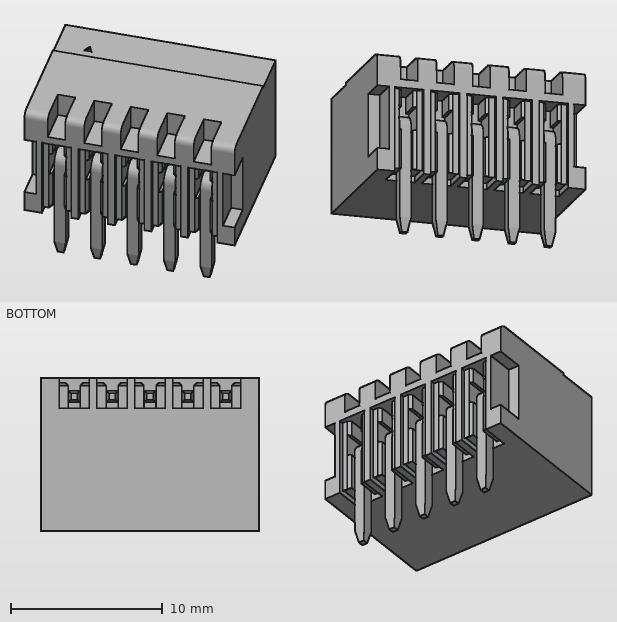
import cadquery as cq


LENGTH = 14.4
DEPTH = 10.1
HEIGHT = 8.1
STEP_START = 7.0
STEP_DROP = 0.15
FRONT_EDGE_RADIUS = 0.5

PIN_COUNT = 5
PITCH = 2.5
PIN_CENTRES = [(i - (PIN_COUNT - 1) / 2) * PITCH for i in range(PIN_COUNT)]

TOP_SLOT_WIDTH = 1.2
TOP_SLOT_LENGTH = 2.48
TOP_SLOT_DEPTH = 1.7

BAY_WIDTH = 2.0
BAY_TOP = 5.83
BAY_DEPTH = 0.3
RECESS_DEPTH = 2.0
GUIDE_MOUTH = 1.2
GUIDE_WIDTH = 0.8
GUIDE_CHAMFER = (GUIDE_MOUTH - GUIDE_WIDTH) / 2
GUIDE_THROAT = BAY_DEPTH + GUIDE_CHAMFER
WINDOW_BOTTOM = 3.1
WINDOW_TOP = 4.7

RELIEF_FRONT_HEIGHT = 0.3
RELIEF_HEIGHT = 0.43

END_RECESS_WIDTH = 0.8
END_RECESS_BOTTOM = 1.5

PIN_SIZE = 0.78
PIN_FRONT = 0.83
PIN_LENGTH_BELOW = 3.8
PIN_TOP = 4.3
BEND_RADIUS = 0.8
PIN_EMBED = 0.5
TIP_LENGTH = 0.95
TIP_SIZE = 0.4

MARK_WIDTH = 0.5
MARK_LENGTH = 0.5
MARK_START = 7.75
MARK_DEPTH = 0.15


def box(x_range, y_range, z_range):
    """Box spanning the given (low, high) limits on each axis."""
    low, high = zip(x_range, y_range, z_range)
    size = [b - a for a, b in zip(low, high)]
    return cq.Workplane("XY").box(*size, centered=False).translate(low)


def centred(x, width):
    """Limits of a span of the given width centred on x."""
    return x - width / 2, x + width / 2


def side_profile(points, x, width):
    """Closed (Y, Z) outline extruded along X, centred on x."""
    return (
        cq.Workplane("YZ")
        .polyline(points)
        .close()
        .extrude(width / 2, both=True)
        .translate((x, 0, 0))
    )


def housing_block():
    block = box(centred(0, LENGTH), (0, DEPTH), (0, HEIGHT))
    block = block.edges("|X and >Z and <Y").fillet(FRONT_EDGE_RADIUS)
    shelf = box(centred(0, LENGTH), (STEP_START, DEPTH), (HEIGHT - STEP_DROP, HEIGHT))
    return block.cut(shelf)


def top_slot(x):
    return box(centred(x, TOP_SLOT_WIDTH), (0, TOP_SLOT_LENGTH), (HEIGHT - TOP_SLOT_DEPTH, HEIGHT))


def guide(x):
    """Vertical pin guide with a funnel-shaped mouth."""
    mouth = GUIDE_MOUTH / 2
    throat = GUIDE_WIDTH / 2
    return (
        cq.Workplane("XY")
        .polyline(
            [
                (x - mouth, BAY_DEPTH),
                (x + mouth, BAY_DEPTH),
                (x + throat, GUIDE_THROAT),
                (x + throat, RECESS_DEPTH),
                (x - throat, RECESS_DEPTH),
                (x - throat, GUIDE_THROAT),
            ]
        )
        .close()
        .extrude(BAY_TOP)
    )


def relief(x):
    """Clearance under the guide, its roof rising over the depth of the funnel mouth."""
    outline = [
        (BAY_DEPTH, 0),
        (BAY_DEPTH, RELIEF_FRONT_HEIGHT),
        (GUIDE_THROAT, RELIEF_HEIGHT),
        (RECESS_DEPTH, RELIEF_HEIGHT),
        (RECESS_DEPTH, 0),
    ]
    return side_profile(outline, x, BAY_WIDTH)


def pin_bay(x):
    bay = box(centred(x, BAY_WIDTH), (0, BAY_DEPTH), (0, BAY_TOP))
    window = box(centred(x, GUIDE_MOUTH), (BAY_DEPTH, RECESS_DEPTH), (WINDOW_BOTTOM, WINDOW_TOP))
    return bay.union(guide(x)).union(window).union(relief(x))


def end_recess(side):
    """Recess in the front corner of one end; side is -1 or +1."""
    outer = side * LENGTH / 2
    inner = outer - side * END_RECESS_WIDTH
    return box(sorted((inner, outer)), (0, RECESS_DEPTH), (END_RECESS_BOTTOM, BAY_TOP))


def pin_one_mark():
    x = PIN_CENTRES[0]
    return (
        cq.Workplane("XY")
        .workplane(offset=HEIGHT - STEP_DROP)
        .polyline(
            [
                (x - MARK_WIDTH / 2, MARK_START),
                (x + MARK_WIDTH / 2, MARK_START),
                (x, MARK_START + MARK_LENGTH),
            ]
        )
        .close()
        .extrude(-MARK_DEPTH)
    )


def pin(x):
    """Right-angle pin: a leg into the housing, a rounded bend and a tapered tail."""
    pin_back = PIN_FRONT + PIN_SIZE
    leg_end = RECESS_DEPTH + PIN_EMBED
    tail_end = TIP_LENGTH - PIN_LENGTH_BELOW
    outline = [
        (PIN_FRONT, tail_end),
        (PIN_FRONT, PIN_TOP),
        (leg_end, PIN_TOP),
        (leg_end, PIN_TOP - PIN_SIZE),
        (pin_back, PIN_TOP - PIN_SIZE),
        (pin_back, tail_end),
    ]
    body = side_profile(outline, x, PIN_SIZE)
    body = body.edges("|X and >Z and <Y").fillet(BEND_RADIUS)
    tip = (
        cq.Workplane("XY", origin=(x, PIN_FRONT + PIN_SIZE / 2, tail_end))
        .rect(PIN_SIZE, PIN_SIZE)
        .workplane(offset=-TIP_LENGTH)
        .rect(TIP_SIZE, TIP_SIZE)
        .loft(ruled=True)
    )
    return body.union(tip)


result = housing_block().cut(pin_one_mark())
for end in (-1, 1):
    result = result.cut(end_recess(end))
for centre in PIN_CENTRES:
    result = result.cut(top_slot(centre)).cut(pin_bay(centre))
for centre in PIN_CENTRES:
    result = result.union(pin(centre))